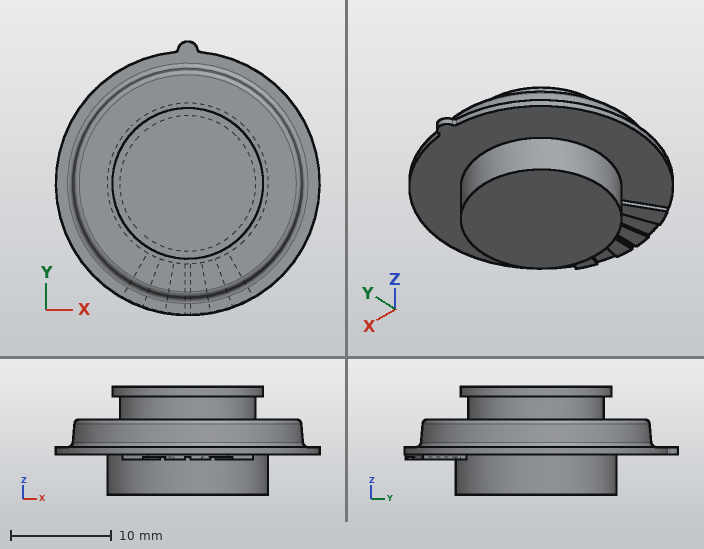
import cadquery as cq
import math

flange_diameter = 26.25
flange_thickness = 0.75

base_diameter = 16.0
base_height = 4.0

dome_foot_radius = 11.5
dome_height = 2.75
dome_draft = 5.0
dome_fillet = 0.5

neck_diameter = 13.5
neck_height = 2.25
cap_diameter = 15.0
cap_thickness = 1.0

tab_radius = 1.0
tab_root_fillet = 0.3

sector_radius = 13.0
sector_half_angle = 30.0
sector_thickness = 0.25
pad_thickness = 0.5
outer_pad_start = 20.0
inner_pad_end = 10.0
centre_gap = 0.57

dome_top = flange_thickness + dome_height
total_height = dome_top + neck_height + cap_thickness


def disc(diameter, bottom, top):
    """Cylinder on the part axis between two heights."""
    return cq.Workplane("XY").workplane(offset=bottom).circle(diameter / 2).extrude(top - bottom)


def rim_point(radius, angle):
    """Point at an angle in degrees from -Y, positive toward +X."""
    turn = math.radians(angle)
    return (radius * math.sin(turn), -radius * math.cos(turn))


def sector(start, end, thickness):
    """Radial sector hanging below the flange."""
    return (
        cq.Workplane("XY")
        .lineTo(*rim_point(sector_radius, start))
        .threePointArc(rim_point(sector_radius, (start + end) / 2), rim_point(sector_radius, end))
        .close()
        .extrude(-thickness)
    )


def make_flange():
    """Flange disc with a rounded index tab blended into its rim."""
    flange_radius = flange_diameter / 2
    tab = cq.Workplane("XY").center(0, flange_radius).circle(tab_radius).extrude(flange_thickness)
    flange = disc(flange_diameter, 0, flange_thickness).union(tab)
    near_tab = cq.selectors.BoxSelector(
        (-2 * tab_radius, flange_radius - tab_radius, 0),
        (2 * tab_radius, flange_radius + tab_radius / 2, flange_thickness),
    )
    return flange.edges("|Z").edges(near_tab).fillet(tab_root_fillet)


def make_dome():
    """Drafted dome with a rounded shoulder and a concave fillet at its foot."""
    draft = math.radians(dome_draft)
    shoulder_radius = dome_foot_radius - dome_height * math.tan(draft)
    tangent_length = dome_fillet * math.tan((math.pi / 2 - draft) / 2)
    along_r = tangent_length * math.sin(draft)
    along_z = tangent_length * math.cos(draft)
    mid_angle = (math.pi / 2 + draft) / 2
    mid_r = dome_fillet * math.cos(mid_angle)
    mid_z = dome_fillet * math.sin(mid_angle)
    foot_centre = (dome_foot_radius + tangent_length, flange_thickness + dome_fillet)
    shoulder_centre = (shoulder_radius - tangent_length, dome_top - dome_fillet)
    profile = (
        cq.Workplane("XZ")
        .moveTo(0, flange_thickness)
        .lineTo(foot_centre[0], flange_thickness)
        .threePointArc(
            (foot_centre[0] - mid_r, foot_centre[1] - mid_z),
            (dome_foot_radius - along_r, flange_thickness + along_z),
        )
        .lineTo(shoulder_radius + along_r, dome_top - along_z)
        .threePointArc(
            (shoulder_centre[0] + mid_r, shoulder_centre[1] + mid_z),
            (shoulder_centre[0], dome_top),
        )
        .lineTo(0, dome_top)
        .close()
    )
    return profile.revolve(360, (0, 0, 0), (0, 1, 0))


def make_contact_sector():
    """Thin sector carrying four thicker pads, two on each side of the centre gap."""
    pads = sector(-inner_pad_end, inner_pad_end, pad_thickness)
    gap = cq.Workplane("XY").rect(centre_gap, 2 * flange_diameter).extrude(-pad_thickness)
    pads = pads.cut(gap)
    for side in (-1, 1):
        pads = pads.union(sector(side * outer_pad_start, side * sector_half_angle, pad_thickness))
    return sector(-sector_half_angle, sector_half_angle, sector_thickness).union(pads)


result = (
    make_flange()
    .union(make_dome())
    .union(disc(neck_diameter, dome_top, dome_top + neck_height))
    .union(disc(cap_diameter, dome_top + neck_height, total_height))
    .union(disc(base_diameter, -base_height, 0))
    .union(make_contact_sector())
)